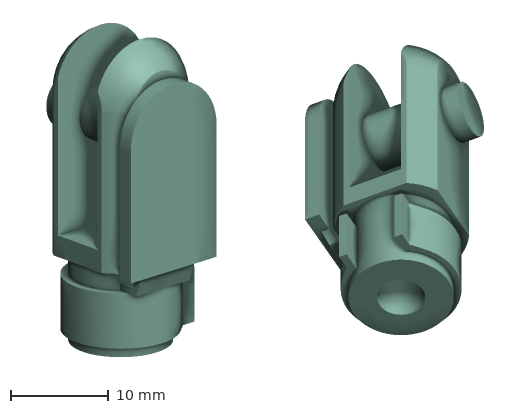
import cadquery as cq
import math

fork_width = 12.0
fork_turned_radius = 7.0
fork_bottom = 9.65
total_height = 33.5
slot_width = 6.0
slot_floor = 12.0
dome_center = total_height - math.sqrt(fork_turned_radius**2 - (slot_width / 2) ** 2)

neck_radius = 5.4
bore_radius = 2.48

pin_radius = 2.98
pin_height = 24.0
pin_end = 8.0

collar_radius = 6.2
collar_bottom = 1.2
collar_top = 7.25
lug_gap = 5.5
lug_outer_half = 3.62
lug_reach = 6.97
lug_flat_angle = math.radians(39.8)
strip_half_width = 3.72
strip_thickness = 0.8
strip_bend = 6.35
lever_thickness = 1.6
lever_inner = pin_end - lever_thickness
strip_top_outer = 7.27


def box_between(x0, x1, y0, y1, z0, z1):
    return cq.Workplane("XY").box(x1 - x0, y1 - y0, z1 - z0, centered=False).translate((x0, y0, z0))


def cylinder(radius, z0, z1):
    return cq.Workplane("XY").workplane(offset=z0).circle(radius).extrude(z1 - z0)


def make_fork():
    half = fork_width / 2
    turned = cylinder(fork_turned_radius, fork_bottom, dome_center)
    dome = cq.Workplane("XY").sphere(fork_turned_radius).translate((0, 0, dome_center))
    dome = dome.intersect(box_between(-half, half, -half, half, dome_center, total_height + half))
    square = box_between(-half, half, -half, half, fork_bottom, dome_center)
    slot = box_between(-slot_width / 2, slot_width / 2, -half, half, slot_floor, total_height + half)
    return turned.intersect(square).union(dome).cut(slot)


def make_lug(side):
    """Lug whose outer face runs into the collar along a tangent flat."""
    tangent_x = collar_radius * math.cos(lug_flat_angle)
    tangent_y = collar_radius * math.sin(lug_flat_angle)
    flat_end_y = tangent_y + (tangent_x - lug_outer_half) / math.tan(lug_flat_angle)
    outline = [
        (0, 0),
        (side * tangent_x, tangent_y),
        (side * lug_outer_half, flat_end_y),
        (side * lug_outer_half, lug_reach),
        (0, lug_reach),
    ]
    lug = cq.Workplane("XY").workplane(offset=collar_bottom).polyline(outline).close()
    return lug.extrude(collar_top - collar_bottom)


def make_collar():
    collar = cylinder(collar_radius, collar_bottom, collar_top)
    for side in (-1, 1):
        collar = collar.union(make_lug(side))
    gap = box_between(-lug_gap / 2, lug_gap / 2, 0, lug_reach, collar_bottom, collar_top)
    return collar.cut(gap)


def make_strip():
    """Flat tab on the collar, bent up and outward to the lever."""
    tab_top = collar_top + strip_thickness
    outward_slope = (strip_top_outer - strip_bend) / (fork_bottom - collar_top)
    inner_bend = lever_inner - outward_slope * (fork_bottom - tab_top)
    outline = [
        (0, collar_top),
        (strip_bend, collar_top),
        (strip_top_outer, fork_bottom),
        (lever_inner, fork_bottom),
        (inner_bend, tab_top),
        (0, tab_top),
    ]
    strip = cq.Workplane("XZ").polyline(outline).close()
    return strip.extrude(strip_half_width, both=True)


def make_lever():
    half = fork_width / 2
    plate = box_between(lever_inner, pin_end, -half, half, fork_bottom, pin_height)
    rounded_end = cq.Workplane("YZ", origin=(lever_inner, 0, pin_height)).circle(half).extrude(lever_thickness)
    return plate.union(rounded_end)


def make_pin():
    return cq.Workplane("YZ", origin=(-pin_end, 0, pin_height)).circle(pin_radius).extrude(2 * pin_end)


shank = cylinder(neck_radius, 0, fork_bottom)
result = make_fork().union(shank).union(make_collar()).union(make_strip())
bore = cylinder(bore_radius, 0, slot_floor)
result = result.cut(bore).union(make_pin()).union(make_lever())